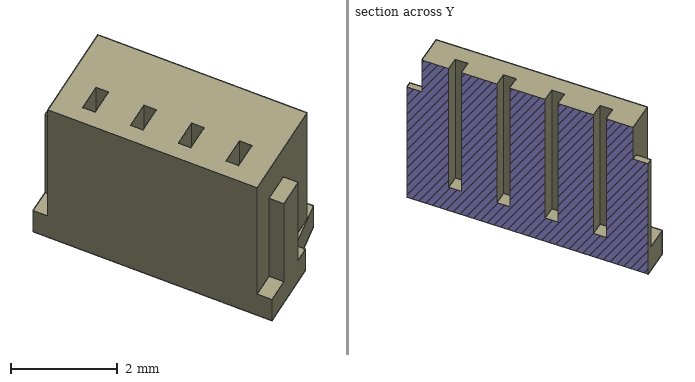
import cadquery as cq

base_width = 5.0
base_depth = 2.45
base_height = 0.6
base_straight_depth = 1.41
tongue_root_inset = 0.205
tongue_tip_inset = 0.35

body_width = 4.38
body_depth = 2.1
body_height = 3.6

rail_front = 0.5
rail_depth = 0.6
rail_height = 2.8

slot_count = 4
slot_pitch = 1.0
slot_width = 0.26
slot_length = 0.56
slot_front = 0.345
slot_floor = base_height


def front_aligned_block(width, depth, height, front=0.0):
    """Block centred on X, standing on Z = 0, with its front face at Y = front."""
    return (
        cq.Workplane("XY")
        .box(width, depth, height, centered=(True, False, False))
        .translate((0, front, 0))
    )


def make_base():
    half_width = base_width / 2
    root_x = half_width - tongue_root_inset
    tip_x = half_width - tongue_tip_inset
    tongue = (
        cq.Workplane("XY")
        .moveTo(-root_x, base_straight_depth)
        .lineTo(root_x, base_straight_depth)
        .lineTo(tip_x, base_depth)
        .lineTo(-tip_x, base_depth)
        .close()
        .extrude(base_height)
    )
    return front_aligned_block(base_width, base_straight_depth, base_height).union(tongue)


def make_slots():
    """Contact slots, open at the top of the housing and closed at the level of the flange top."""
    return (
        cq.Workplane("XY", origin=(0, 0, slot_floor))
        .center(0, slot_front + slot_length / 2)
        .rarray(slot_pitch, 0.05, slot_count, 1)
        .rect(slot_width, slot_length)
        .extrude(body_height - slot_floor)
    )


body = front_aligned_block(body_width, body_depth, body_height)
rails = front_aligned_block(base_width, rail_depth, rail_height, rail_front)

result = make_base().union(body).union(rails).cut(make_slots())